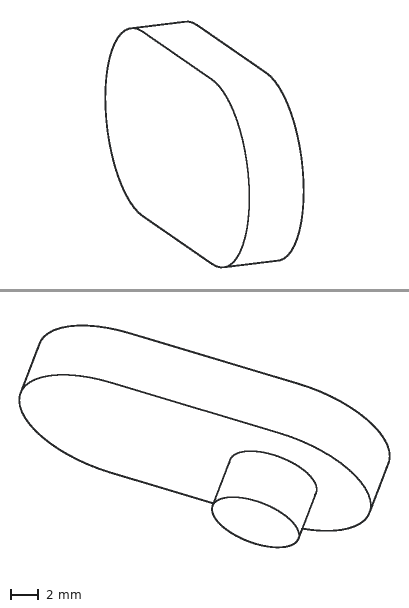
import cadquery as cq

length = 27.0
height = 14.0
total_depth = 8.3
plate_thickness = 4.3

pin_diameter = 6.7
pin_x = -6.0
pin_length = total_depth - plate_thickness

plate = cq.Workplane("XZ").slot2D(length, height).extrude(-plate_thickness)

pin = (
    cq.Workplane("XZ", origin=(pin_x, plate_thickness, 0))
    .circle(pin_diameter / 2)
    .extrude(-pin_length)
)

result = plate.union(pin)